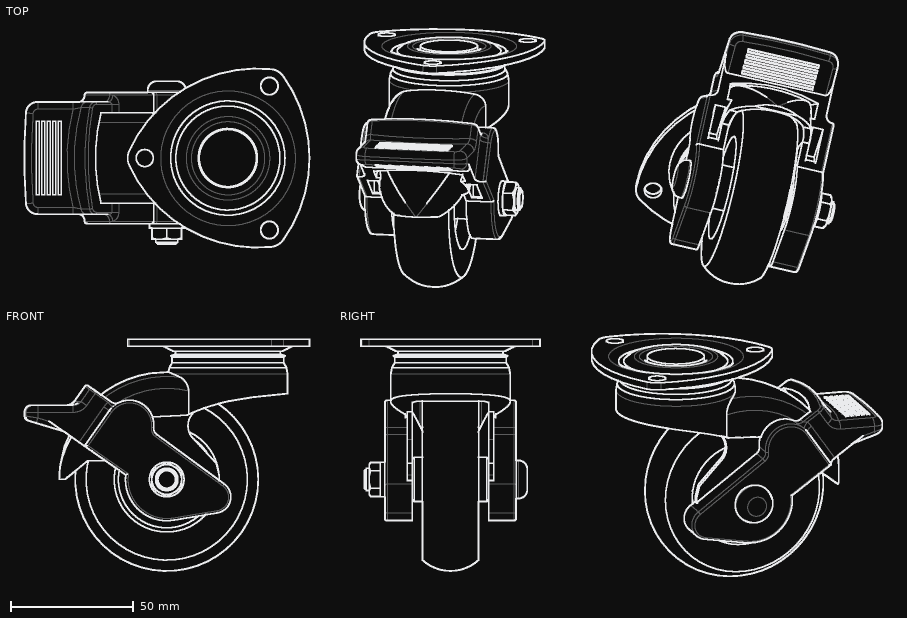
import cadquery as cq
import math

AXLE_TO_SWIVEL = 25.0
TOP_HEIGHT = 57.46

HOLE_CIRCLE_RADIUS = 34.0
PLATE_CORNER_RADIUS = 7.0
PLATE_SIDE_RADIUS = 57.6
PLATE_THICKNESS = 3.0
PLATE_HOLE_DIAMETER = 7.0
DISH_DEPTH = 2.1
DISH_OUTER = 27.6
DISH_FLOOR_OUTER = 23.4
DISH_FLOOR_INNER = 21.3
DISH_DOME_RADIUS = 17.1
DISH_BEND = 5.3
DISH_UNDERSIDE_INSET = 1.2
KING_PIN_HOLE_RADIUS = 12.1
KING_PIN_HOLE_ROUND = 2.9
KING_PIN_RADIUS = 11.7

NECK_RADIUS = 24.5
NECK_SHOULDER_RADIUS = 24.0
NECK_SHOULDER_Z = 45.8
NECK_WALL_TOP_Z = 43.2
SWIVEL_RING_RADIUS = 22.9
SWIVEL_RING_BOTTOM_Z = 47.7
SWIVEL_FLANGE_HEIGHT = 1.2
SWIVEL_GROOVE_HEIGHT = 1.1
SWIVEL_FLANGE_RADIUS = 23.4
SWIVEL_GROOVE_RADIUS = 21.5
HOOD_RADIUS = 44.0
HOOD_CROWN_DROP = 2.8
HOOD_HALF_WIDTH = 18.5
HOOD_CORNER_ROUND = 5.0
CAVITY_RADIUS = 41.0
CAVITY_CORNER_ROUND = 3.0
LEG_INNER = 15.6
LEG_OUTER = 17.6
LEG_END_RADIUS = 12.0
SKIRT_EDGE = [(-41.6, 0), (-32.4, 7.6), (-25.4, 7.6), (-5.7, 25.6), (8.3, 26.3)]
NECK_EDGE = [(20.5, 30.8), (34.2, 33.5)]
NECK_EDGE_END_Z = 35.1
LEG_REAR = (-20.0, 20.0)
LEG_REAR_TOP = (-10.0, 30.0)
LEG_FRONT_EDGE = [(21.5, -0.5), (21.4, 2.0), (20.2, 6.7), (11.2, 16.4)]
LEG_WAIST = (8.7, 22.5)
LEG_FRONT_TOP = (11.8, 28.0)
FORK_TOP = TOP_HEIGHT - DISH_DEPTH - PLATE_THICKNESS

WHEEL_RADIUS = 37.5
WHEEL_HALF_WIDTH = 11.5
WHEEL_FLANK_RADIUS = 33.0
RECESS_RADIUS = 21.5
RECESS_FLOOR_RADIUS = 19.8
WEB_HALF_WIDTH = 5.5
HUB_RADIUS = 9.1
HUB_CHAMFER = 0.8

SHANK_RADIUS = 4.0
BOLT_HEAD_RADIUS = 7.85
BOLT_HEAD_HEIGHT = 4.6
BOLT_HEAD_ROUND = 3.8
BOLT_END = 35.2
BOLT_END_CHAMFER = 0.4
NUT_FLANGE_RADIUS = 7.1
NUT_FLANGE_THICKNESS = 1.8
NUT_CORNER_DIAMETER = 14.0
NUT_HEX_HEIGHT = 4.6
NUT_CHAMFER_RADIUS = 6.1
NUT_CHAMFER_HEIGHT = 0.6
NUT_COLLAR_RADIUS = 4.6
NUT_COLLAR_HEIGHT = 1.2

PEDAL_TILT = math.radians(35)
PEDAL_OUTER = 26.9
PEDAL_BOTTOM_V = -8.1
PEDAL_TOP_V = 13.0
PEDAL_EDGE_ROUND = 1.0
AXLE_LOBE_RADIUS = 16.9
TIP_CENTRE = (20.2, 5.4)
TIP_RADIUS = 6.6
UPPER_LOBE_CENTRE = (-25.4, 9.6)
UPPER_LOBE_RADIUS = 10.0
LOBE_BLEND = 3.0
UPPER_EDGE_RISE = 0.8
BAR_HALF_WIDTH = 23.0
BAR_FRONT_U = -49.4
BAR_BACK_U = -44.7
BAR_BOW = 2.8
BAR_TOP_ROUND = 0.9
TREAD_BLEND = 3.6
ARM_BLEND = 2.85
TREAD_FRONT_X = -58.30
TREAD_TOP_Z = 30.4
TREAD_NOSE_Z = 24.5
TREAD_END_U = -42.0
TREAD_UNDERSIDE_END = (-45.8, PEDAL_BOTTOM_V)
TREAD_BOW = 1.0
TREAD_CORNER_ROUND = 4.8
TREAD_TOP_ROUND = 2.9
TREAD_BOTTOM_ROUND = 2.3
GRIP_COUNT = 5
GRIP_PITCH = 2.26
GRIP_FIRST_X = -52.8
GRIP_WIDTH = 1.2
GRIP_LENGTH = 30.0
GRIP_DEPTH = 0.5
POCKET_OUTER = 22.8
POCKET_BOTTOM_Z = 3.9
POCKET_TOP_Z = 11.7
POCKET_END_X = -17.0


def polar(radius, degrees):
    angle = math.radians(degrees)
    return (radius * math.cos(angle), radius * math.sin(angle))


def slope_point(u, v):
    """Turn pedal coordinates (u, v) into (x, z)."""
    c, s = math.cos(PEDAL_TILT), math.sin(PEDAL_TILT)
    return (u * c + v * s, -u * s + v * c)


def near(x, y, z):
    return cq.selectors.NearestToPointSelector((x, y, z))


def about_axle(profile):
    """Revolve an XY profile, given as (radius, y), about the axle."""
    return profile.revolve(360, (0, 0, 0), (0, 1, 0))


def y_cylinder(radius, start, end):
    return cq.Workplane("XZ", origin=(0, start, 0)).circle(radius).extrude(start - end)


def at_swivel(body, height):
    return body.translate((AXLE_TO_SWIVEL, 0, height))


def turned(points):
    """Solid of revolution about Z from (radius, z) points."""
    return cq.Workplane("XZ").polyline(points).close().revolve(360, (0, 0, 0), (0, 1, 0))


def make_plate():
    half_pitch_x, half_pitch_y = polar(HOLE_CIRCLE_RADIUS, 60)
    reach = PLATE_SIDE_RADIUS - PLATE_CORNER_RADIUS
    to_centre = math.sqrt(reach**2 - half_pitch_y**2)
    side_apothem = PLATE_SIDE_RADIUS - (to_centre - half_pitch_x)
    side_half_angle = math.degrees(math.asin(half_pitch_y / reach))

    def corner_end(corner, normal):
        cx, cy = polar(HOLE_CIRCLE_RADIUS, corner)
        dx, dy = polar(PLATE_CORNER_RADIUS, normal)
        return (cx + dx, cy + dy)

    outline = cq.Workplane("XY").moveTo(*corner_end(-60, -side_half_angle))
    for side in (0, 120, 240):
        corner = side + 60
        outline = outline.threePointArc(
            polar(side_apothem, side),
            corner_end(corner, side + side_half_angle),
        )
        outline = outline.threePointArc(
            polar(HOLE_CIRCLE_RADIUS + PLATE_CORNER_RADIUS, corner),
            corner_end(corner, side + 120 - side_half_angle),
        )
    plate = outline.close().extrude(-PLATE_THICKNESS)
    holes = cq.Workplane("XY").polarArray(HOLE_CIRCLE_RADIUS, 60, 360, 3)
    plate = plate.cut(holes.circle(PLATE_HOLE_DIAMETER / 2).extrude(-PLATE_THICKNESS))
    plate = plate.cut(cq.Workplane("XY").circle(DISH_OUTER).extrude(-PLATE_THICKNESS))

    floor = -DISH_DEPTH - PLATE_THICKNESS
    dish = (
        cq.Workplane("XZ")
        .moveTo(DISH_OUTER, 0)
        .radiusArc((DISH_FLOOR_OUTER, -DISH_DEPTH), -DISH_BEND)
        .lineTo(DISH_FLOOR_INNER, -DISH_DEPTH)
        .radiusArc((DISH_DOME_RADIUS, 0), -DISH_BEND)
        .lineTo(KING_PIN_HOLE_RADIUS + KING_PIN_HOLE_ROUND, 0)
        .radiusArc((KING_PIN_HOLE_RADIUS, -KING_PIN_HOLE_ROUND), -KING_PIN_HOLE_ROUND)
        .lineTo(KING_PIN_HOLE_RADIUS, -PLATE_THICKNESS)
        .lineTo(DISH_DOME_RADIUS - DISH_UNDERSIDE_INSET, -PLATE_THICKNESS)
        .lineTo(DISH_FLOOR_INNER - DISH_UNDERSIDE_INSET, floor)
        .lineTo(DISH_FLOOR_OUTER - DISH_UNDERSIDE_INSET, floor)
        .lineTo(DISH_OUTER - DISH_UNDERSIDE_INSET, -PLATE_THICKNESS)
        .lineTo(DISH_OUTER, -PLATE_THICKNESS)
        .close()
        .revolve(360, (0, 0, 0), (0, 1, 0))
    )
    return at_swivel(plate.union(dish), TOP_HEIGHT)


def make_swivel_neck():
    groove_bottom = FORK_TOP - SWIVEL_GROOVE_HEIGHT
    flange_bottom = groove_bottom - SWIVEL_FLANGE_HEIGHT
    outline = [
        (0, TOP_HEIGHT),
        (KING_PIN_RADIUS, TOP_HEIGHT),
        (KING_PIN_RADIUS, FORK_TOP),
        (SWIVEL_GROOVE_RADIUS, FORK_TOP),
        (SWIVEL_GROOVE_RADIUS, groove_bottom),
        (SWIVEL_FLANGE_RADIUS, (groove_bottom + flange_bottom) / 2),
        (SWIVEL_RING_RADIUS, flange_bottom),
        (SWIVEL_RING_RADIUS, SWIVEL_RING_BOTTOM_Z),
        (NECK_SHOULDER_RADIUS, NECK_SHOULDER_Z),
        (NECK_RADIUS, NECK_WALL_TOP_Z),
        (NECK_RADIUS, 0),
        (0, 0),
    ]
    return at_swivel(turned(outline), 0)


def make_hood():
    edge = HOOD_RADIUS - HOOD_CROWN_DROP
    profile = (
        cq.Workplane("XY")
        .moveTo(0, -HOOD_HALF_WIDTH)
        .lineTo(edge, -HOOD_HALF_WIDTH)
        .threePointArc((HOOD_RADIUS, 0), (edge, HOOD_HALF_WIDTH))
        .lineTo(0, HOOD_HALF_WIDTH)
        .close()
    )
    rim = cq.selectors.RadiusNthSelector(0)
    return about_axle(profile).edges("%CIRCLE").edges(rim).fillet(HOOD_CORNER_ROUND)


def make_lower_limit():
    """Block above the lower edge of the hood skirt and neck."""
    block_half_width = NECK_RADIUS + 1
    block_left = -HOOD_RADIUS - 1
    block_right = AXLE_TO_SWIVEL + NECK_RADIUS + 0.1
    return (
        cq.Workplane("XZ", origin=(0, block_half_width, 0))
        .moveTo(block_left, 0)
        .polyline(SKIRT_EDGE, includeCurrent=True)
        .spline(NECK_EDGE + [(block_right, NECK_EDGE_END_Z)], includeCurrent=True)
        .lineTo(block_right, TOP_HEIGHT)
        .lineTo(block_left, TOP_HEIGHT)
        .close()
        .extrude(2 * block_half_width)
    )


def make_leg():
    """Leg plate on the -Y side, rounded about the axle."""
    return (
        cq.Workplane("XZ", origin=(0, -LEG_INNER, 0))
        .moveTo(*LEG_REAR)
        .lineTo(-LEG_END_RADIUS, 0)
        .threePointArc((0, -LEG_END_RADIUS), (LEG_END_RADIUS, 0))
        .polyline(LEG_FRONT_EDGE, includeCurrent=True)
        .threePointArc(LEG_WAIST, LEG_FRONT_TOP)
        .lineTo(*LEG_REAR_TOP)
        .close()
        .extrude(LEG_OUTER - LEG_INNER)
    )


def rounded_front(half_width, front):
    """Tall block whose -X end is a half cylinder, reaching x = -front."""
    end_x = half_width - front
    return (
        cq.Workplane("XY", origin=(0, 0, -TOP_HEIGHT))
        .moveTo(TOP_HEIGHT, -half_width)
        .lineTo(end_x, -half_width)
        .threePointArc((-front, 0), (end_x, half_width))
        .lineTo(TOP_HEIGHT, half_width)
        .close()
        .extrude(2 * TOP_HEIGHT)
    )


def make_fork():
    hood = make_hood().intersect(rounded_front(HOOD_HALF_WIDTH, HOOD_RADIUS))
    body = hood.union(make_swivel_neck()).intersect(make_lower_limit())
    cavity = y_cylinder(CAVITY_RADIUS, -LEG_INNER, LEG_INNER).edges().fillet(CAVITY_CORNER_ROUND)
    cavity = cavity.intersect(rounded_front(LEG_INNER, CAVITY_RADIUS))
    leg = make_leg()
    fork = body.cut(cavity).union(leg).union(leg.mirror("XZ"))
    return fork.cut(y_cylinder(SHANK_RADIUS, -HOOD_HALF_WIDTH, HOOD_HALF_WIDTH))


def make_wheel():
    def half(sign):
        return [
            (WHEEL_FLANK_RADIUS, sign * WHEEL_HALF_WIDTH),
            (RECESS_RADIUS, sign * WHEEL_HALF_WIDTH),
            (RECESS_FLOOR_RADIUS, sign * WEB_HALF_WIDTH),
            (HUB_RADIUS, sign * WEB_HALF_WIDTH),
            (HUB_RADIUS, sign * (LEG_INNER - HUB_CHAMFER)),
            (HUB_RADIUS - HUB_CHAMFER, sign * LEG_INNER),
            (SHANK_RADIUS, sign * LEG_INNER),
        ]

    lower, upper = half(-1), half(1)
    profile = (
        cq.Workplane("XY")
        .moveTo(*lower[0])
        .threePointArc((WHEEL_RADIUS, 0), upper[0])
        .polyline(upper[1:] + lower[:0:-1], includeCurrent=True)
        .close()
    )
    return about_axle(profile)


def make_bolt():
    shank = y_cylinder(SHANK_RADIUS, PEDAL_OUTER, -BOLT_END).faces("<Y").chamfer(BOLT_END_CHAMFER)
    head = y_cylinder(BOLT_HEAD_RADIUS, PEDAL_OUTER, PEDAL_OUTER + BOLT_HEAD_HEIGHT)
    return shank.union(head.faces(">Y").edges().fillet(BOLT_HEAD_ROUND))


def make_nut():
    hex_start = -PEDAL_OUTER - NUT_FLANGE_THICKNESS
    hex_end = hex_start - NUT_HEX_HEIGHT
    flange = y_cylinder(NUT_FLANGE_RADIUS, -PEDAL_OUTER, hex_start)
    hexagon = (
        cq.Workplane("XZ", origin=(0, hex_start, 0))
        .polygon(6, NUT_CORNER_DIAMETER)
        .extrude(NUT_HEX_HEIGHT)
        .rotate((0, 0, 0), (0, 1, 0), 30)
    )
    corner = NUT_CORNER_DIAMETER / 2
    chamfer = about_axle(
        cq.Workplane("XY").polyline(
            [
                (0, hex_start),
                (corner, hex_start),
                (corner, hex_end + NUT_CHAMFER_HEIGHT),
                (NUT_CHAMFER_RADIUS, hex_end),
                (0, hex_end),
            ]
        ).close()
    )
    collar = y_cylinder(NUT_COLLAR_RADIUS, hex_end, hex_end - NUT_COLLAR_HEIGHT)
    nut = flange.union(hexagon.intersect(chamfer)).union(collar)
    return nut.cut(y_cylinder(SHANK_RADIUS, -PEDAL_OUTER, -BOLT_END))


SLOPE_X, SLOPE_Z = slope_point(1, 0)
SQUARE_X, SQUARE_Z = slope_point(0, 1)


def make_side_plate():
    """Pedal cheek on the -Y side: upper lobe, axle lobe and tip."""
    plane = cq.Plane(origin=(0, -LEG_INNER, 0), xDir=(SLOPE_X, 0, SLOPE_Z), normal=(0, -1, 0))
    lobe_u, lobe_v = UPPER_LOBE_CENTRE
    tip_u, tip_v = TIP_CENTRE
    upper_v = tip_v + TIP_RADIUS
    left_u = lobe_u - UPPER_LOBE_RADIUS
    lobe_end_v = upper_v + UPPER_EDGE_RISE
    lobe_end_u = lobe_u + math.sqrt(UPPER_LOBE_RADIUS**2 - (lobe_end_v - lobe_v) ** 2)

    tip_angle = math.atan2(tip_v, tip_u)
    spread = math.acos((AXLE_LOBE_RADIUS - TIP_RADIUS) / math.hypot(tip_u, tip_v))
    normal = math.degrees(tip_angle - spread)
    axle_u, axle_v = polar(AXLE_LOBE_RADIUS, normal)
    tip_end_u, tip_end_v = polar(TIP_RADIUS, normal)
    tip_mid_u, tip_mid_v = polar(TIP_RADIUS, (normal + 90) / 2)
    heel_u = -math.sqrt(AXLE_LOBE_RADIUS**2 - PEDAL_BOTTOM_V**2)
    cheek = (
        cq.Workplane(plane)
        .moveTo(left_u, PEDAL_BOTTOM_V)
        .lineTo(left_u, lobe_v)
        .threePointArc((lobe_u, lobe_v + UPPER_LOBE_RADIUS), (lobe_end_u, lobe_end_v))
        .lineTo(tip_u, upper_v)
        .threePointArc((tip_u + tip_mid_u, tip_v + tip_mid_v), (tip_u + tip_end_u, tip_v + tip_end_v))
        .lineTo(axle_u, axle_v)
        .threePointArc(polar(AXLE_LOBE_RADIUS, 250), (heel_u, PEDAL_BOTTOM_V))
        .close()
        .extrude(PEDAL_OUTER - LEG_INNER)
    )
    notch_x, notch_z = slope_point(lobe_end_u, lobe_end_v)
    notch = near(notch_x, -(LEG_INNER + PEDAL_OUTER) / 2, notch_z)
    cheek = cheek.edges("|Y").edges(notch).fillet(LOBE_BLEND)
    return cheek.faces("<Y").edges().fillet(PEDAL_EDGE_ROUND)


def bowed_block(middle_u, half_width):
    """Block square to the slope; its front bows out to u = middle_u."""
    x, z = slope_point(0, PEDAL_BOTTOM_V)
    plane = cq.Plane(origin=(x, 0, z), xDir=(SLOPE_X, 0, SLOPE_Z), normal=(SQUARE_X, 0, SQUARE_Z))
    arm_end_u = UPPER_LOBE_CENTRE[0] - UPPER_LOBE_RADIUS / 2
    side_u = middle_u + BAR_BOW
    return (
        cq.Workplane(plane)
        .moveTo(arm_end_u, -half_width)
        .lineTo(side_u, -half_width)
        .threePointArc((middle_u, 0), (side_u, half_width))
        .lineTo(arm_end_u, half_width)
        .close()
        .extrude(PEDAL_TOP_V - PEDAL_BOTTOM_V)
    )


def make_tread():
    """Foot tread that grows out of the front of the bar."""
    bottom_x, bottom_z = slope_point(TREAD_END_U, PEDAL_BOTTOM_V)
    top_v = (TREAD_TOP_Z + TREAD_END_U * math.sin(PEDAL_TILT)) / math.cos(PEDAL_TILT)
    top_x, _ = slope_point(TREAD_END_U, top_v)
    break_x, break_z = slope_point(*TREAD_UNDERSIDE_END)
    side = (
        cq.Workplane("XZ", origin=(0, BAR_HALF_WIDTH, 0))
        .moveTo(TREAD_FRONT_X, TREAD_NOSE_Z)
        .lineTo(TREAD_FRONT_X, TREAD_TOP_Z)
        .lineTo(top_x, TREAD_TOP_Z)
        .lineTo(bottom_x, bottom_z)
        .lineTo(break_x, break_z)
        .close()
        .extrude(2 * BAR_HALF_WIDTH)
    )
    corner_x = TREAD_FRONT_X + TREAD_BOW
    plan = (
        cq.Workplane("XY")
        .moveTo(0, -BAR_HALF_WIDTH)
        .lineTo(corner_x, -BAR_HALF_WIDTH)
        .threePointArc((TREAD_FRONT_X, 0), (corner_x, BAR_HALF_WIDTH))
        .lineTo(0, BAR_HALF_WIDTH)
        .close()
        .extrude(TREAD_TOP_Z)
        .edges("|Z")
        .edges("<X")
        .fillet(TREAD_CORNER_ROUND)
    )
    return side.intersect(plan)


def make_grips():
    """Groove cutters for the top and the underside of the tread."""
    break_x, break_z = slope_point(*TREAD_UNDERSIDE_END)
    underside_slope = (break_z - TREAD_NOSE_Z) / (break_x - TREAD_FRONT_X)
    grips = cq.Workplane("XY")
    for index in range(GRIP_COUNT):
        x = GRIP_FIRST_X + index * GRIP_PITCH
        underside_z = TREAD_NOSE_Z + (x - TREAD_FRONT_X) * underside_slope
        for z in (TREAD_TOP_Z, underside_z):
            groove = cq.Workplane("XY", origin=(x, 0, z)).box(GRIP_WIDTH, GRIP_LENGTH, 2 * GRIP_DEPTH)
            grips = grips.union(groove)
    return grips


def make_bar_and_tread():
    bar = bowed_block(BAR_FRONT_U, BAR_HALF_WIDTH)
    body = bar.union(make_tread())
    root_v = (TREAD_TOP_Z + BAR_FRONT_U * math.sin(PEDAL_TILT)) / math.cos(PEDAL_TILT)
    root_x, root_z = slope_point(BAR_FRONT_U, root_v)
    body = body.edges(near(root_x, 0, root_z)).fillet(TREAD_BLEND)
    body = body.edges(near(TREAD_FRONT_X, 0, TREAD_TOP_Z)).fillet(TREAD_TOP_ROUND)
    body = body.edges(near(TREAD_FRONT_X, BAR_HALF_WIDTH / 2, TREAD_NOSE_Z)).fillet(TREAD_BOTTOM_ROUND)
    top_x, top_z = slope_point(BAR_FRONT_U, PEDAL_TOP_V)
    body = body.edges(near(top_x, 0, top_z)).fillet(BAR_TOP_ROUND)
    return body.cut(make_grips()).cut(bowed_block(BAR_BACK_U, HOOD_HALF_WIDTH))


def make_pedal(fork):
    cheek = make_side_plate()
    pedal = make_bar_and_tread().union(cheek).union(cheek.mirror("XZ"))
    blend_x, blend_z = slope_point(UPPER_LOBE_CENTRE[0] - UPPER_LOBE_RADIUS, 0)
    for side in (-BAR_HALF_WIDTH, BAR_HALF_WIDTH):
        pedal = pedal.edges(near(blend_x, side, blend_z)).fillet(ARM_BLEND)
    pocket = (
        cq.Workplane("XZ", origin=(0, -HOOD_HALF_WIDTH, 0))
        .moveTo(-HOOD_RADIUS, POCKET_BOTTOM_Z)
        .lineTo(POCKET_END_X, POCKET_BOTTOM_Z)
        .lineTo(POCKET_END_X, POCKET_TOP_Z)
        .lineTo(-HOOD_RADIUS, POCKET_TOP_Z)
        .close()
        .extrude(POCKET_OUTER - HOOD_HALF_WIDTH)
    )
    pedal = pedal.cut(pocket).cut(pocket.mirror("XZ"))
    return pedal.cut(y_cylinder(SHANK_RADIUS, -PEDAL_OUTER, PEDAL_OUTER)).cut(fork)


plate = make_plate()
fork = make_fork()
wheel = make_wheel()
bolt = make_bolt()
nut = make_nut()
pedal = make_pedal(fork)

result = cq.Compound.makeCompound(
    [plate.val(), fork.val(), wheel.val(), bolt.val(), nut.val(), pedal.val()]
)